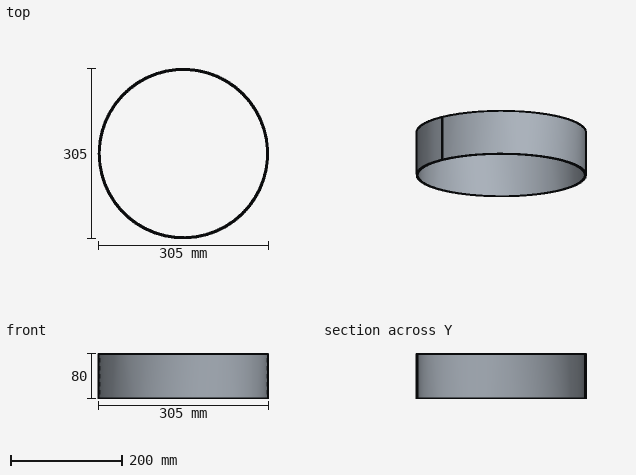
import cadquery as cq

outer_diameter = 305.0
wall_thickness = 2.5
height = 80.0
outer_chamfer = 0.5
inner_chamfer = 0.2
gap_angle = 1.0

outer_radius = outer_diameter / 2
inner_radius = outer_radius - wall_thickness


def make_wall_section():
    """Upright wall cross-section at the -X axis, with all four corners chamfered."""
    outer_x = -outer_radius
    inner_x = -inner_radius
    corners = [
        (inner_x, inner_chamfer),
        (inner_x - inner_chamfer, 0),
        (outer_x + outer_chamfer, 0),
        (outer_x, outer_chamfer),
        (outer_x, height - outer_chamfer),
        (outer_x + outer_chamfer, height),
        (inner_x - inner_chamfer, height),
        (inner_x, height - inner_chamfer),
    ]
    return cq.Workplane("XZ").polyline(corners).close()


def make_split_band():
    """Turn the wall section about Z from -X through -Y, stopping short of a full turn."""
    axis_start = (0, 0, 0)
    axis_end = (0, 1, 0)
    return make_wall_section().revolve(360 - gap_angle, axis_start, axis_end)


result = make_split_band()